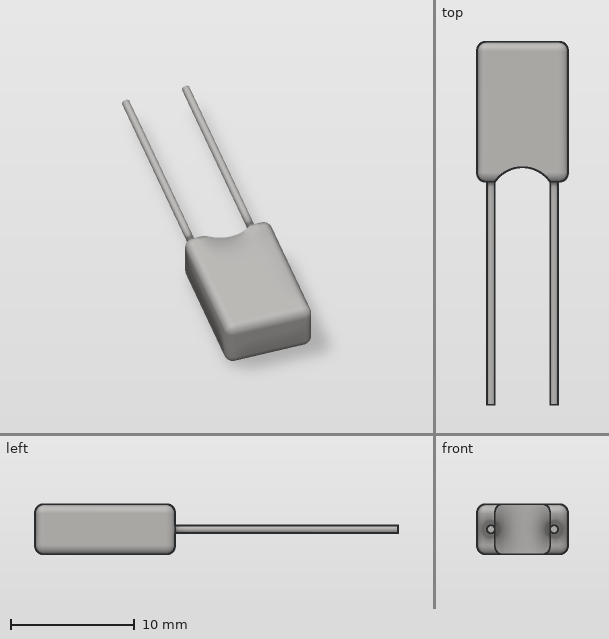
import cadquery as cq

total_length = 29.32
case_width = 7.35
case_length = 11.32
case_height = 4.08
edge_radius = 0.73

notch_width = 4.45
notch_depth = 1.17

lead_diameter = 0.65
lead_spacing = 5.1
lead_length = total_length - case_length


def make_case():
    """Rounded block, front face at Y = 0, with a notch through its full height."""
    block = (
        cq.Workplane("XY")
        .box(case_width, case_length, case_height, centered=(True, False, True))
        .edges()
        .fillet(edge_radius)
    )
    notch = (
        cq.Workplane("XY")
        .moveTo(-notch_width / 2, 0)
        .threePointArc((0, notch_depth), (notch_width / 2, 0))
        .close()
        .extrude(case_height / 2, both=True)
    )
    return block.cut(notch).solids()


def make_lead(x):
    """Straight wire running forward (-Y) from the case front face."""
    return cq.Workplane("XZ").center(x, 0).circle(lead_diameter / 2).extrude(lead_length)


case = make_case()
leads = [make_lead(side * lead_spacing / 2) for side in (-1, 1)]

result = cq.Compound.makeCompound([case.val(), *[lead.val() for lead in leads]])